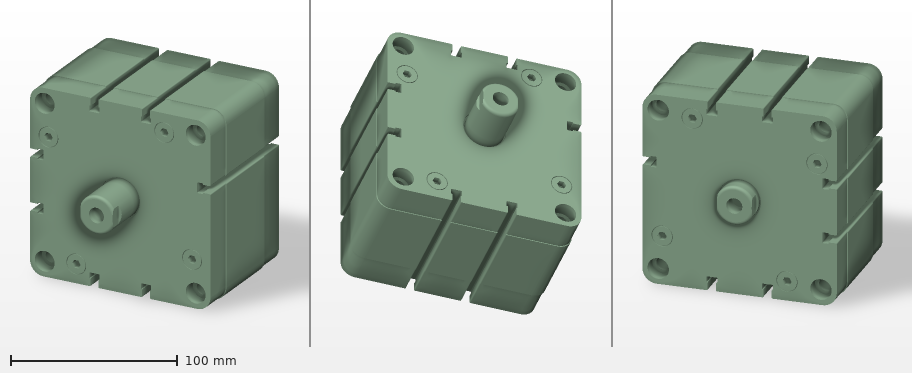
import cadquery as cq
import math


barrel_side = 124.0
cap_side = 123.0
corner_radius = 9.0
barrel_length = 48.0
cap_length = 19.25
housing_length = barrel_length + 2 * cap_length
cap_face = housing_length / 2

slot_offset = 17.6
slot_mouth_width = 5.2
slot_head_width = 7.0
slot_floor = 52.5
slot_head_depth = 3.8
slot_mouth_radius = 0.7
slot_corner_radius = 0.5

mount_offset = 51.5
mount_centres = [(x, z) for x in (-mount_offset, mount_offset) for z in (-mount_offset, mount_offset)]
mount_diameter = 8.38
mount_counterbore_diameter = 13.5
mount_counterbore_depth = 9.0

screw_x = 30.0
screw_z = 49.0
screw_pocket_diameter = 13.5
screw_head_diameter = 12.5
screw_gap_depth = 1.0
screw_socket_flats = 5.0
screw_socket_depth = 4.0

rod_diameter = 25.0
front_rod_length = 30.0
rear_rod_length = 10.0
rod_edge_radius = 2.0
rod_flats = 22.0
rod_flat_length = 7.3
rod_hole_diameter = 10.11
rod_hole_depth = 20.0
drill_point_angle = 118.0
rod_recess_diameter = 27.0
rod_recess_depth = 1.0


def at_front():
    """Workplane on the front cap face, with its normal pointing out along -Y."""
    return cq.Workplane("XZ", origin=(0, -cap_face, 0))


def rounded_block(side, y_start, length):
    block = cq.Workplane("XZ", origin=(0, y_start, 0)).rect(side, side).extrude(-length)
    return block.edges("|Y").fillet(corner_radius)


def housing():
    front_cap = rounded_block(cap_side, -cap_face, cap_length)
    barrel = rounded_block(barrel_side, -barrel_length / 2, barrel_length)
    rear_cap = rounded_block(cap_side, barrel_length / 2, cap_length)
    return front_cap.union(barrel).union(rear_cap)


def slot_cutter(side, y_start, length):
    """T-slot in the top side of a block, with rounded mouth edges and floor corners."""
    top = side / 2
    half_mouth = slot_mouth_width / 2
    half_head = slot_head_width / 2
    shoulder = slot_floor + slot_head_depth
    mouth_r = slot_mouth_radius
    corner_r = slot_corner_radius
    return (
        cq.Workplane("XZ", origin=(0, y_start, 0))
        .moveTo(-half_head + corner_r, slot_floor)
        .lineTo(half_head - corner_r, slot_floor)
        .radiusArc((half_head, slot_floor + corner_r), -corner_r)
        .lineTo(half_head, shoulder)
        .lineTo(half_mouth, shoulder)
        .lineTo(half_mouth, top - mouth_r)
        .radiusArc((half_mouth + mouth_r, top), mouth_r)
        .lineTo(-half_mouth - mouth_r, top)
        .radiusArc((-half_mouth, top - mouth_r), mouth_r)
        .lineTo(-half_mouth, shoulder)
        .lineTo(-half_head, shoulder)
        .lineTo(-half_head, slot_floor + corner_r)
        .radiusArc((-half_head + corner_r, slot_floor), -corner_r)
        .close()
        .extrude(-length)
    )


def cut_slots(body):
    sections = [
        (cap_side, -cap_face, cap_length),
        (barrel_side, -barrel_length / 2, barrel_length),
        (cap_side, barrel_length / 2, cap_length),
    ]
    slots = [
        (0, -slot_offset),
        (0, slot_offset),
        (90, -slot_offset),
        (180, -slot_offset),
        (180, slot_offset),
        (270, -slot_offset),
        (270, slot_offset),
    ]
    for side, y_start, length in sections:
        cutter = slot_cutter(side, y_start, length)
        for turn, offset in slots:
            placed = cutter.translate((offset, 0, 0)).rotate((0, 0, 0), (0, 1, 0), turn)
            body = body.cut(placed)
    return body


def mount_holes():
    return at_front().pushPoints(mount_centres).circle(mount_diameter / 2).extrude(-housing_length)


def cap_face_cuts():
    """Counterbores, screw details and rod recess of the front cap."""
    screws = [
        (screw_x, screw_z),
        (-screw_z, screw_x),
        (-screw_x, -screw_z),
        (screw_z, -screw_x),
    ]
    socket_corners = screw_socket_flats / math.cos(math.pi / 6)
    counterbores = (
        at_front()
        .pushPoints(mount_centres)
        .circle(mount_counterbore_diameter / 2)
        .extrude(-mount_counterbore_depth)
    )
    gaps = (
        at_front()
        .pushPoints(screws)
        .circle(screw_pocket_diameter / 2)
        .circle(screw_head_diameter / 2)
        .extrude(-screw_gap_depth)
    )
    sockets = at_front().pushPoints(screws).polygon(6, socket_corners).extrude(-screw_socket_depth)
    recess = at_front().circle(rod_recess_diameter / 2).extrude(-rod_recess_depth)
    return counterbores.union(gaps).union(sockets).union(recess)


def rod():
    length = front_rod_length + housing_length + rear_rod_length
    front_end = -cap_face - front_rod_length
    bar = cq.Workplane("XZ", origin=(0, front_end, 0)).circle(rod_diameter / 2).extrude(-length)
    bar = bar.faces("<Y or >Y").edges().fillet(rod_edge_radius)
    front_cut = rod_end_cut(front_end)
    rear_cut = rod_end_cut(-cap_face - rear_rod_length).mirror("XZ")
    return bar.cut(front_cut).cut(rear_cut)


def rod_end_cut(end):
    """Wrench flats with 45 degree run-outs and a drilled hole, for a rod end facing -Y at `end`."""
    flat = rod_flats / 2
    outside = rod_diameter
    flat_end = end + rod_flat_length
    flat_side = (
        cq.Workplane("XY")
        .moveTo(flat, end)
        .lineTo(flat, flat_end)
        .lineTo(outside, flat_end + outside - flat)
        .lineTo(outside, end)
        .close()
        .extrude(rod_diameter / 2, both=True)
    )
    hole_radius = rod_hole_diameter / 2
    point_length = hole_radius / math.tan(math.radians(drill_point_angle / 2))
    hole = (
        cq.Workplane("XY")
        .moveTo(0, end)
        .lineTo(hole_radius, end)
        .lineTo(hole_radius, end + rod_hole_depth)
        .lineTo(0, end + rod_hole_depth + point_length)
        .close()
        .revolve(360, (0, 0, 0), (0, 1, 0))
    )
    return flat_side.union(flat_side.mirror("YZ")).union(hole)


body = cut_slots(housing())
front_cuts = cap_face_cuts()
body = body.cut(mount_holes())
body = body.cut(front_cuts).cut(front_cuts.mirror("XZ"))
result = body.union(rod())